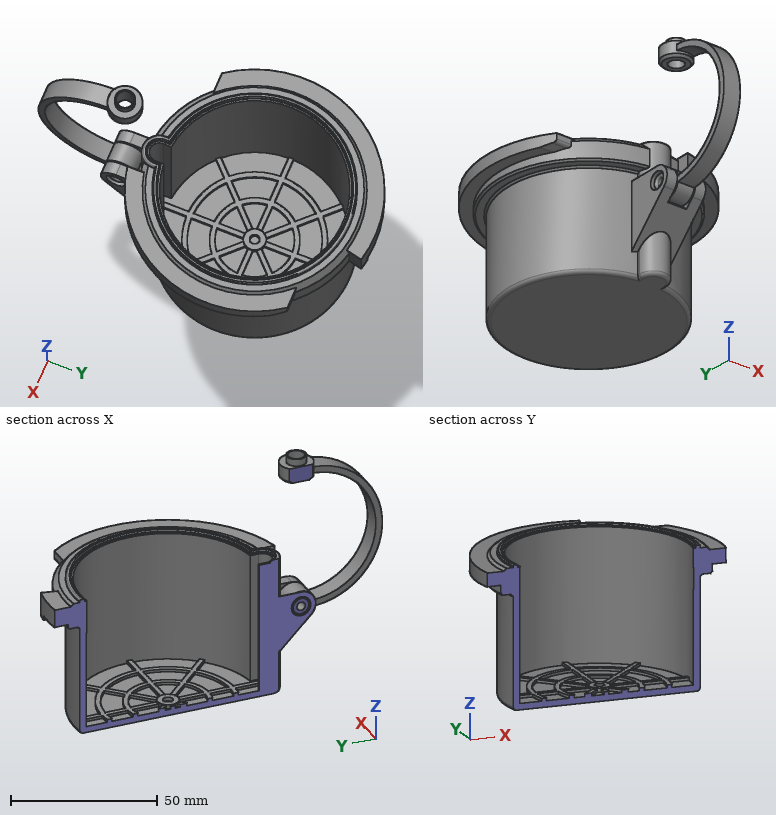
import cadquery as cq
import math

CUP_HEIGHT = 52.0
CUP_RADIUS = 35.1
WALL = 2.6
LOBE_Y = -35.3
LOBE_RADIUS = 6.0
BOTTOM_FILLET = 1.5
RIM_LEDGE_WIDTH = 0.7
RIM_LEDGE_DEPTH = 1.0
RIM_OUTER_FILLET = 0.5
RIM_INNER_CHAMFER = 0.5

FLOOR = 2.5
RIB_WIDTH = 1.8
RIB_HEIGHT = 1.0
RIB_RING_RADII = (14.5, 24.0)
RIB_COUNT = 8
BOSS_RADIUS = 4.0
BOSS_HEIGHT = 1.5
BOSS_HOLE_DIAMETER = 3.5

COLLAR_RADIUS = 39.5
COLLAR_BOTTOM = 41.4
COLLAR_TOP = CUP_HEIGHT - RIM_LEDGE_DEPTH
COLLAR_BEVEL = 2.1
COLLAR_EDGE = 0.7

LUG_RADIUS = 44.4
LUG_TOP = 50.0
LUG_ROOT_RADIUS = 36.9
LUG_END_ANGLE = 77.6
STOP_X = 5.5
LEAD_IN_Y = -26.8
LEAD_IN_FACE_BOTTOM = 47.6
LEAD_IN_ROUND = 1.2
RAMP_END_Y = -20.3
RAMP_END_Z = 44.9
RAMP_START_Z = 46.7
HELIX_PITCH = 6.9
HELIX_START_ANGLE = 60.0
HELIX_START_Z = 42.5
HELIX_SWEEP = 160.0

PIVOT_Y = -48.0
PIVOT_Z = 31.6
KNUCKLE_RADIUS = 5.5
BRACKET_WIDTH = 16.9
SLOT_WIDTH = 8.0
WEB = 2.0
WEB_END = 4.8
PIN_HOLE_DIAMETER = 7.0

STRAP_WIDTH = 7.1
STRAP_THICKNESS = 2.5
HUB_RADIUS = KNUCKLE_RADIUS
TRUNNION_DIAMETER = 6.2
TRUNNION_BORE = 3.0
TRUNNION_RECESS = 0.9
BEND_Y = -51.7
BEND_OUTER_RADIUS = 27.0
CAP_RADIUS = 6.0
CAP_BOTTOM = 79.8
CAP_HEIGHT = 5.9
CAP_CHAMFER = 1.0
SPIGOT_DIAMETER = 7.0
SPIGOT_BORE = 6.0
TOTAL_HEIGHT = 88.3


def disc(radius, bottom, top, y=0.0):
    return cq.Workplane("XY", origin=(0, y, bottom)).circle(radius).extrude(top - bottom)


def x_cylinder(radius, length):
    """Cylinder on the hinge axis, centred on x = 0."""
    plane = cq.Workplane("YZ", origin=(-length / 2, PIVOT_Y, PIVOT_Z))
    return plane.circle(radius).extrude(length)


def cup_prism(inset, bottom, top):
    """Round cup with its lobe, drawn in from the outer wall by inset."""
    lobe_radius = LOBE_RADIUS - inset
    neck = cq.Workplane("XY", origin=(0, LOBE_Y / 2, bottom)).rect(2 * lobe_radius, -LOBE_Y)
    prism = disc(CUP_RADIUS - inset, bottom, top)
    prism = prism.union(neck.extrude(top - bottom))
    return prism.union(disc(lobe_radius, bottom, top, LOBE_Y))


def collar():
    """Flange below the rim, bevelled on top, with a small flare into the wall."""
    bevel_start = COLLAR_TOP - COLLAR_BEVEL
    profile = (
        cq.Workplane("XZ")
        .moveTo(0, COLLAR_BOTTOM - COLLAR_EDGE)
        .lineTo(CUP_RADIUS, COLLAR_BOTTOM - COLLAR_EDGE)
        .lineTo(CUP_RADIUS + COLLAR_EDGE, COLLAR_BOTTOM)
        .lineTo(COLLAR_RADIUS - COLLAR_EDGE, COLLAR_BOTTOM)
        .lineTo(COLLAR_RADIUS, COLLAR_BOTTOM + COLLAR_EDGE)
        .lineTo(COLLAR_RADIUS, bevel_start)
        .lineTo(COLLAR_RADIUS - COLLAR_BEVEL, COLLAR_TOP)
        .lineTo(0, COLLAR_TOP)
        .close()
    )
    return profile.revolve(360, (0, 0, 0), (0, 1, 0))


def helical_cutter():
    """Space below the rising underside of a lug, up to the stop face."""
    depth = LUG_TOP - COLLAR_BOTTOM
    width = 3 * (LUG_RADIUS - LUG_ROOT_RADIUS)
    path = cq.Wire.makeHelix(HELIX_PITCH, HELIX_PITCH * HELIX_SWEEP / 360, LUG_RADIUS)
    section = cq.Workplane("XZ").center(LUG_RADIUS, -depth / 2).rect(width, depth)
    cutter = section.sweep(cq.Workplane(path), isFrenet=True)
    cutter = cutter.rotate((0, 0, 0), (0, 0, 1), HELIX_START_ANGLE)
    cutter = cutter.translate((0, 0, HELIX_START_Z))
    span = 3 * LUG_RADIUS
    keep = cq.Workplane("XY").box(span, span, span).translate((STOP_X - span / 2, 0, 0))
    return cutter.intersect(keep)


def lead_in_cutter():
    """Removes the lug below the entry ramp and beyond the flat entry face."""
    slope = (RAMP_START_Z - RAMP_END_Z) / (RAMP_END_Y - LEAD_IN_Y)
    round_y = LEAD_IN_Y + LEAD_IN_ROUND
    outline = (
        cq.Workplane("YZ")
        .moveTo(LEAD_IN_Y, COLLAR_TOP)
        .lineTo(LEAD_IN_Y, LEAD_IN_FACE_BOTTOM)
        .radiusArc((round_y, RAMP_START_Z - slope * LEAD_IN_ROUND), -LEAD_IN_ROUND)
        .lineTo(RAMP_END_Y, RAMP_END_Z)
        .lineTo(RAMP_END_Y, COLLAR_BOTTOM)
        .lineTo(-LUG_RADIUS, COLLAR_BOTTOM)
        .lineTo(-LUG_RADIUS, COLLAR_TOP)
        .close()
    )
    return outline.extrude(-LUG_RADIUS)


def lug():
    """Arc from the entry ramp round to the stop, thickening towards the stop."""
    ring = disc(LUG_RADIUS, COLLAR_BOTTOM, LUG_TOP).cut(disc(LUG_ROOT_RADIUS, COLLAR_BOTTOM, LUG_TOP))
    reach = 2 * LUG_RADIUS
    end = math.radians(LUG_END_ANGLE)
    sector = (
        cq.Workplane("XY", origin=(0, 0, COLLAR_BOTTOM))
        .polyline([
            (0, 0),
            (reach * math.cos(end), reach * math.sin(end)),
            (-reach, reach),
            (-reach, -reach),
            (0, -reach),
        ])
        .close()
        .extrude(CUP_HEIGHT)
    )
    right_half = cq.Workplane("XY").box(reach, reach, reach).translate((reach / 2, -reach / 2, COLLAR_TOP))
    blank = ring.intersect(sector).cut(right_half)
    return blank.cut(helical_cutter()).cut(lead_in_cutter())


def lug_pair():
    first = lug()
    second = first.rotate((0, 0, 0), (0, 0, 1), 180)
    reach = 2 * LUG_RADIUS
    clearance = cq.Workplane("XY").box(reach, reach, reach)
    clearance = clearance.translate((BRACKET_WIDTH / 2 - reach / 2, -reach / 2, COLLAR_TOP))
    return first.union(second.cut(clearance))


def bracket():
    """Two cheeks joined by a web along the sloping lower face."""
    diagonal = math.sqrt(0.5)
    tangent = (PIVOT_Y - KNUCKLE_RADIUS * diagonal, PIVOT_Z - KNUCKLE_RADIUS * diagonal)
    top_z = PIVOT_Z + KNUCKLE_RADIUS
    root_y = LOBE_Y + LOBE_RADIUS
    plate = (
        cq.Workplane("YZ", origin=(-BRACKET_WIDTH / 2, 0, 0))
        .moveTo(root_y, top_z)
        .lineTo(PIVOT_Y, top_z)
        .threePointArc((PIVOT_Y - KNUCKLE_RADIUS, PIVOT_Z), tangent)
        .lineTo(root_y, tangent[1] - (root_y - tangent[0]))
        .close()
        .extrude(BRACKET_WIDTH)
    )
    length = 2 * CUP_RADIUS
    slope = cq.Plane(origin=(0, PIVOT_Y, PIVOT_Z), xDir=(0, diagonal, -diagonal), normal=(1, 0, 0))
    web_top = WEB - KNUCKLE_RADIUS
    above_web = cq.Workplane(slope).center(0, web_top + length / 2).rect(length, length)
    past_web = cq.Workplane(slope).center(WEB_END - length / 2, 0).rect(length, length)
    slot = above_web.extrude(SLOT_WIDTH / 2, both=True)
    slot = slot.union(past_web.extrude(SLOT_WIDTH / 2, both=True))
    return plate.cut(slot).cut(x_cylinder(PIN_HOLE_DIAMETER / 2, BRACKET_WIDTH))


def rib_grid():
    """Spokes, rings and a drilled centre boss standing on the floor."""
    top = FLOOR + RIB_HEIGHT
    grid = disc(BOSS_RADIUS, FLOOR, FLOOR + BOSS_HEIGHT)
    for radius in RIB_RING_RADII:
        ring = disc(radius + RIB_WIDTH / 2, FLOOR, top).cut(disc(radius - RIB_WIDTH / 2, FLOOR, top))
        grid = grid.union(ring)
    for index in range(RIB_COUNT):
        spoke = cq.Workplane("XY").box(COLLAR_RADIUS, RIB_WIDTH, RIB_HEIGHT, centered=(False, True, False))
        spoke = spoke.translate((0, 0, FLOOR)).rotate((0, 0, 0), (0, 0, 1), index * 360 / RIB_COUNT)
        grid = grid.union(spoke)
    grid = grid.intersect(cup_prism(WALL / 2, FLOOR, CUP_HEIGHT))
    return grid.cut(disc(BOSS_HOLE_DIAMETER / 2, FLOOR, CUP_HEIGHT))


def make_cup():
    """Cup body with collar, lugs, hinge bracket, stepped rim and ribbed floor."""
    shell = cup_prism(0, 0, CUP_HEIGHT)
    shell = shell.faces("<Z").edges().fillet(BOTTOM_FILLET)
    shell = shell.faces(">Z").edges().fillet(RIM_OUTER_FILLET)
    cup = shell.union(collar()).union(lug_pair()).union(bracket())
    cup = cup.cut(cup_prism(WALL, FLOOR, CUP_HEIGHT))
    ledge_z = CUP_HEIGHT - RIM_LEDGE_DEPTH
    recess = cup_prism(WALL - RIM_LEDGE_WIDTH, ledge_z, CUP_HEIGHT)
    lip_inset = WALL - RIM_LEDGE_WIDTH - RIM_INNER_CHAMFER
    flare = cup_prism(lip_inset, CUP_HEIGHT - RIM_INNER_CHAMFER, CUP_HEIGHT + RIM_INNER_CHAMFER)
    flare = flare.faces("<Z").edges().chamfer(RIM_INNER_CHAMFER)
    cup = cup.cut(recess).cut(flare)
    return cup.union(rib_grid())


def trunnioned_hub():
    """Hub with a hollow trunnion on each side, its end rim fully rounded."""
    half_length = BRACKET_WIDTH / 2 - TRUNNION_RECESS
    inner = TRUNNION_BORE / 2
    outer = TRUNNION_DIAMETER / 2
    rim_round = (outer - inner) / 2
    shoulder = half_length - rim_round
    profile = (
        cq.Workplane("XY", origin=(0, PIVOT_Y, PIVOT_Z))
        .moveTo(-shoulder, inner)
        .lineTo(shoulder, inner)
        .threePointArc((half_length, inner + rim_round), (shoulder, outer))
        .lineTo(STRAP_WIDTH / 2, outer)
        .lineTo(STRAP_WIDTH / 2, HUB_RADIUS)
        .lineTo(-STRAP_WIDTH / 2, HUB_RADIUS)
        .lineTo(-STRAP_WIDTH / 2, outer)
        .lineTo(-shoulder, outer)
        .threePointArc((-half_length, inner + rim_round), (-shoulder, inner))
        .close()
    )
    return profile.revolve(360, (0, 0, 0), (1, 0, 0))


def strap_band():
    """Half-round band whose lower end lies level with the hinge axis."""
    inner_radius = BEND_OUTER_RADIUS - STRAP_THICKNESS
    bend_z = PIVOT_Z - STRAP_THICKNESS / 2 + BEND_OUTER_RADIUS
    return (
        cq.Workplane("YZ", origin=(-STRAP_WIDTH / 2, 0, 0))
        .moveTo(PIVOT_Y, bend_z - BEND_OUTER_RADIUS)
        .lineTo(BEND_Y, bend_z - BEND_OUTER_RADIUS)
        .threePointArc((BEND_Y - BEND_OUTER_RADIUS, bend_z), (BEND_Y, bend_z + BEND_OUTER_RADIUS))
        .lineTo(PIVOT_Y, bend_z + BEND_OUTER_RADIUS)
        .lineTo(PIVOT_Y, bend_z + inner_radius)
        .lineTo(BEND_Y, bend_z + inner_radius)
        .threePointArc((BEND_Y - inner_radius, bend_z), (BEND_Y, bend_z - inner_radius))
        .lineTo(PIVOT_Y, bend_z - inner_radius)
        .close()
        .extrude(STRAP_WIDTH)
    )


def make_strap():
    """Hinged strap that carries a cap with a hollow spigot."""
    cap_top = CAP_BOTTOM + CAP_HEIGHT
    cap = disc(CAP_RADIUS, CAP_BOTTOM, cap_top, PIVOT_Y).faces("<Z").chamfer(CAP_CHAMFER)
    spigot = disc(SPIGOT_DIAMETER / 2, cap_top, TOTAL_HEIGHT, PIVOT_Y)
    strap = trunnioned_hub().union(strap_band()).union(cap).union(spigot)
    strap = strap.cut(disc(SPIGOT_BORE / 2, CAP_BOTTOM, TOTAL_HEIGHT, PIVOT_Y))
    return strap.cut(x_cylinder(TRUNNION_BORE / 2, BRACKET_WIDTH))


cup = make_cup()
strap = make_strap()

result = cq.Compound.makeCompound([cup.solids().val(), strap.solids().val()])